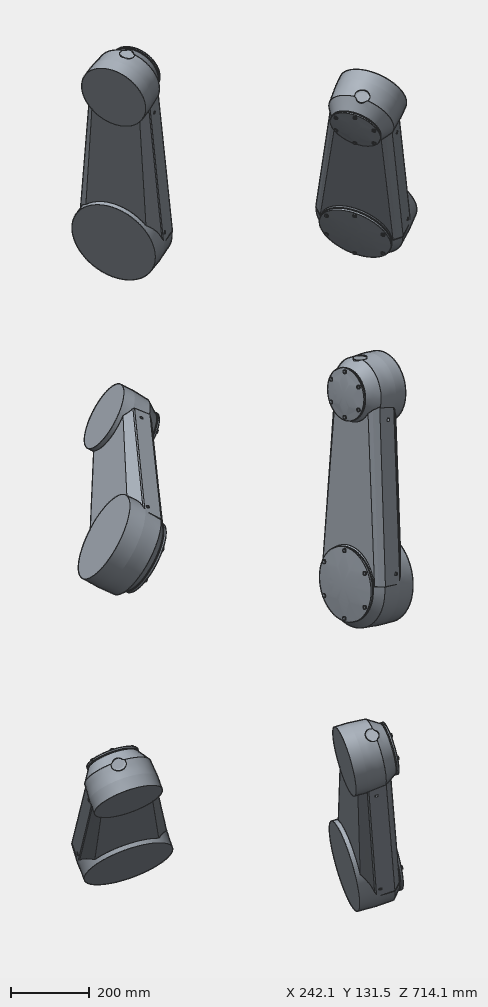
import cadquery as cq
import math


hub_spacing = 500.5

shoulder_end_y = 116.0
cap_start_y = 118.5
cap_overhang = 1.5

lower_radius = 121.05
lower_face_radius = 120.0
lower_parting_y = 47.0
lower_shoulder_radius = 118.5
lower_shoulder_y = 96.0
lower_cap_radius = 98.5
lower_cap_edge_y = 125.0
lower_dome_y = 131.5

upper_radius = 92.5
upper_face_radius = 92.0
upper_parting_y = 33.5
upper_shoulder_radius = 89.0
upper_shoulder_y = 82.0
upper_cap_radius = 69.0
upper_cap_edge_y = 123.5
upper_dome_y = 130.0

screw_count = 6
screw_first_angle = 30
screw_radius = 5.0
screw_edge_margin = 9.0
screw_rise = 4.0

arm_start_z = 11.5
arm_front_y = 13.0
arm_lower_half = 120.0
arm_upper_half = 83.5
arm_strip_inset = 1.5

side_hole_radius = 4.0
side_hole_depth = 14
side_hole_y = 56.5
side_hole_inset_low = 38.5
side_hole_inset_high = 61.5

plug_y = 78.0
plug_radius = 15.0
plug_rim_radius = 21.0
plug_flat_z = hub_spacing + 86.5
plug_rim_rise = 1.5
plug_clearance = 14
plug_height = 21.5


def make_hub(
    center_z, face_radius, radius, parting_y, shoulder_radius, shoulder_y, cap_radius, cap_edge_y, dome_y
):
    """Hub of revolution with a domed cap carrying a ring of screw heads."""
    dome_height = dome_y - cap_edge_y
    dome_radius = (cap_radius**2 + dome_height**2) / (2 * dome_height)
    mid_radius = cap_radius / 2
    neck_radius = cap_radius - cap_overhang
    mid_y = dome_y - dome_radius + math.sqrt(dome_radius**2 - mid_radius**2)
    hub = (
        cq.Workplane("XY")
        .lineTo(face_radius, 0)
        .lineTo(radius, parting_y)
        .lineTo(shoulder_radius, shoulder_y)
        .lineTo(neck_radius, shoulder_end_y)
        .lineTo(neck_radius, cap_start_y)
        .lineTo(cap_radius, cap_start_y)
        .lineTo(cap_radius, cap_edge_y)
        .threePointArc((mid_radius, mid_y), (0, dome_y))
        .close()
        .revolve(360, (0, 0), (0, 1))
    )
    screws = (
        cq.Workplane("XZ", origin=(0, shoulder_end_y, 0))
        .polarArray(cap_radius - screw_edge_margin, screw_first_angle, 360, screw_count)
        .circle(screw_radius)
        .extrude(-(cap_edge_y + screw_rise - shoulder_end_y))
    )
    return hub.union(screws).translate((0, 0, center_z))


def arm_section(z, half_section):
    """Closed wire at height z, mirrored from the +X half listed front to back."""
    mirrored = [(-x, y) for x, y in reversed(half_section)]
    outline = half_section + mirrored
    return cq.Wire.makePolygon([cq.Vector(x, y, z) for x, y in outline], close=True)


def make_arm():
    """Tapered arm: front flat, front bevel, edge strip, side, two back bevels, back flat."""
    lower_section = [
        (90.0, arm_front_y),
        (arm_lower_half - arm_strip_inset, 41.5),
        (arm_lower_half, 46.0),
        (arm_lower_half, 95.0),
        (108.0, 107.0),
        (100.0, 114.0),
    ]
    upper_section = [
        (65.0, arm_front_y),
        (arm_upper_half - arm_strip_inset, 31.5),
        (arm_upper_half, 36.0),
        (arm_upper_half, 83.0),
        (71.5, 96.0),
        (60.0, 103.0),
    ]
    sections = [
        arm_section(arm_start_z, lower_section),
        arm_section(hub_spacing, upper_section),
    ]
    return cq.Workplane(cq.Solid.makeLoft(sections, True))


lower_hub = make_hub(
    0,
    lower_face_radius,
    lower_radius,
    lower_parting_y,
    lower_shoulder_radius,
    lower_shoulder_y,
    lower_cap_radius,
    lower_cap_edge_y,
    lower_dome_y,
)
upper_hub = make_hub(
    hub_spacing,
    upper_face_radius,
    upper_radius,
    upper_parting_y,
    upper_shoulder_radius,
    upper_shoulder_y,
    upper_cap_radius,
    upper_cap_edge_y,
    upper_dome_y,
)
arm = make_arm()

for hole_z in (side_hole_inset_low, hub_spacing - side_hole_inset_high):
    height_fraction = (hole_z - arm_start_z) / (hub_spacing - arm_start_z)
    half_width = arm_lower_half + (arm_upper_half - arm_lower_half) * height_fraction
    for side in (-1, 1):
        bore = cq.Solid.makeCylinder(
            side_hole_radius,
            2 * side_hole_depth,
            cq.Vector(side * (half_width - side_hole_depth), side_hole_y, hole_z),
            cq.Vector(side, 0, 0),
        )
        arm = arm.cut(cq.Workplane(bore))

up = cq.Vector(0, 0, 1)
rim = cq.Solid.makeCone(plug_radius, plug_rim_radius, plug_rim_rise, cq.Vector(0, plug_y, plug_flat_z), up)
clearance = cq.Solid.makeCylinder(
    plug_rim_radius, plug_clearance, cq.Vector(0, plug_y, plug_flat_z + plug_rim_rise), up
)
plug = cq.Solid.makeCylinder(
    plug_radius, plug_height, cq.Vector(0, plug_y, plug_flat_z - plug_height), up
)
upper_hub = upper_hub.cut(cq.Workplane(clearance)).cut(cq.Workplane(rim)).union(cq.Workplane(plug))

result = lower_hub.union(arm).union(upper_hub)